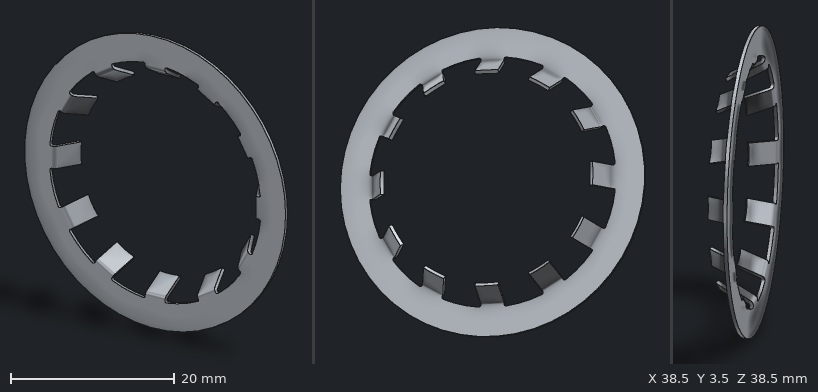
import cadquery as cq
import math

outer_radius = 19.25
inner_radius = 15.6
sheet = 0.5

tab_count = 12
tab_width = 2.95
tab_lean = math.radians(30)
bend_line_radius = 15.25
inside_bend_radius = 0.2
overall_depth = 3.5
root_fillet = 0.25
tip_arc_radius = 11.95
root_overlap = 0.58
corner_tolerance = 0.005

root_top = inner_radius + root_overlap
outside_bend_radius = inside_bend_radius + sheet
bend_angle = math.pi / 2 - tab_lean
bend_center_y = sheet + inside_bend_radius


def around_ring(shape):
    """Copies of a shape at every tab position around the Y axis."""
    step = 360 / tab_count
    return [shape.rotate((0, 0, 0), (0, 1, 0), i * step) for i in range(tab_count)]


def bend_point(radius, angle):
    """(Y, Z) point on the bend of the top tab, turned by angle from its flat root."""
    y = bend_center_y - radius * math.cos(angle)
    z = bend_line_radius - radius * math.sin(angle)
    return y, z


def along_tab(point, length):
    """Move a (Y, Z) point along the straight leaning leg of the top tab."""
    y, z = point
    return y + length * math.cos(tab_lean), z - length * math.sin(tab_lean)


def make_ring():
    """Ring with a flat root for every tab, filleted where the roots meet the bore."""
    ring = cq.Workplane("XZ").circle(outer_radius).circle(inner_radius).extrude(-sheet)
    root = (
        cq.Workplane("XZ")
        .center(0, (bend_line_radius + root_top) / 2)
        .rect(tab_width, root_top - bend_line_radius)
        .extrude(-sheet)
    )
    for copy in around_ring(root):
        ring = ring.union(copy)

    def is_bore_corner(edge):
        middle = edge.Center()
        return abs(math.hypot(middle.x, middle.z) - inner_radius) < corner_tolerance

    return ring.edges("|Y").filter(is_bore_corner).fillet(root_fillet)


def make_tab():
    """Bent tab at the top of the ring (+Z), with a concave tip."""
    front_bend_end = bend_point(outside_bend_radius, bend_angle)
    back_bend_end = bend_point(inside_bend_radius, bend_angle)
    leg_length = (overall_depth - back_bend_end[0]) / math.cos(tab_lean)
    back_tip = along_tab(back_bend_end, leg_length)
    front_tip = along_tab(front_bend_end, leg_length)
    tab = (
        cq.Workplane("YZ")
        .moveTo(0, root_top)
        .lineTo(0, bend_line_radius)
        .threePointArc(bend_point(outside_bend_radius, bend_angle / 2), front_bend_end)
        .lineTo(*front_tip)
        .lineTo(*back_tip)
        .lineTo(*back_bend_end)
        .threePointArc(bend_point(inside_bend_radius, bend_angle / 2), (sheet, bend_line_radius))
        .lineTo(sheet, root_top)
        .close()
        .extrude(tab_width / 2, both=True)
    )
    axis_offset = math.sqrt(tip_arc_radius**2 - (tab_width / 2) ** 2)
    axis_y, axis_z = along_tab(front_tip, axis_offset)
    leg_plane = cq.Plane(
        origin=(0, axis_y, axis_z),
        xDir=(1, 0, 0),
        normal=(0, math.sin(tab_lean), math.cos(tab_lean)),
    )
    tip_cutter = cq.Workplane(leg_plane).circle(tip_arc_radius).extrude(2 * sheet, both=True)
    return tab.cut(tip_cutter)


result = make_ring()
for tab in around_ring(make_tab()):
    result = result.union(tab)